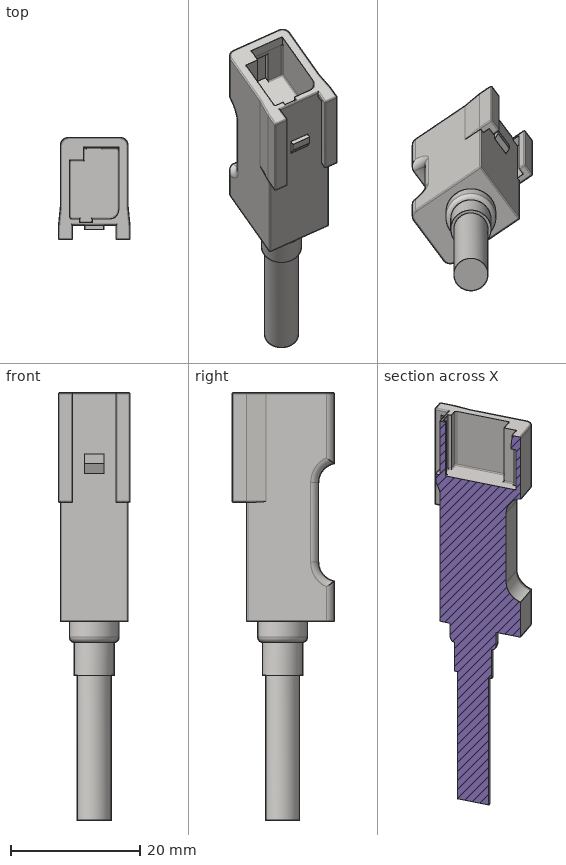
import cadquery as cq

body_width = 10.5
body_back = 7.925
body_front = -5.7
body_length = 35.5
body_edge_radius = 1.25
small_edge_radius = 0.2

recess_floor = 5.5
recess_radius = 3.0
recess_cut_height = 9.0
recess_top = -10.95
recess_bottom = -29.25

rail_span = 11.1
rail_width = 2.2
rail_inner = rail_span / 2 - rail_width
rail_front = -7.925
rail_length = 17.0
rail_flare_start = -2.7
rail_lip_thickness = 1.1
undercut_depth = 1.2
undercut_top = -1.0

cavity_half_width = 3.8
cavity_front = -4.7
cavity_back = 6.25
cavity_depth = 9.5
cavity_large_radius = 1.4
cavity_small_radius = 0.3
cavity_floor_radius = 0.15
key_step_x = -1.7
key_step_y = 4.4
lead_in_depth = 1.7
lead_in_offset = 0.2

front_groove_left = -2.3
front_groove_right = -0.3
front_groove_floor = -5.25
back_groove_half_width = 1.2
back_groove_top = -2.5
back_groove_floor = 7.05

latch_width = 3.0
latch_height = 0.65
latch_top = -9.5
latch_ramp_top = -11.0
latch_bottom = -12.5

cable_y = -0.1
collar_diameter = 7.75
collar_end = -38.75
collar_radius = 0.9
sleeve_diameter = 6.25
sleeve_end = -43.8
cable_diameter = 5.3
cable_end = -66.3


def block(x_min, x_max, y_min, y_max, z_min, z_max):
    """Axis-aligned box given by its limits."""
    size = (x_max - x_min, y_max - y_min, z_max - z_min)
    return cq.Workplane("XY").box(*size, centered=False).translate((x_min, y_min, z_min))


def side_profile(points, x_min, x_max):
    """Prism along X from a closed (y, z) outline."""
    prism = cq.Workplane("YZ").polyline(points).close().extrude(x_max - x_min)
    return prism.translate((x_min, 0, 0))


def make_housing():
    half_width = body_width / 2
    housing = block(-half_width, half_width, body_front, body_back, -body_length, 0)
    recess = block(
        -half_width, half_width,
        recess_floor, recess_floor + recess_cut_height,
        recess_bottom, recess_top,
    ).edges("<Y and |X").fillet(recess_radius)
    housing = housing.cut(recess)
    middle = (body_front + body_back) / 2
    back_edges = housing.faces("<X or >X").edges().filter(
        lambda edge: edge.Center().y > middle + body_edge_radius
    )
    housing = back_edges.fillet(body_edge_radius)
    housing = housing.edges("|Z and <Y").fillet(small_edge_radius)
    return housing.faces("<Z").edges().fillet(small_edge_radius)


def make_rail():
    """Rail on the +X side, flaring out from the housing side."""
    half_span = rail_span / 2
    outline = [
        (rail_inner, rail_front),
        (half_span, rail_front),
        (half_span, body_front),
        (body_width / 2, rail_flare_start),
        (rail_inner, rail_flare_start),
    ]
    rail = cq.Workplane("XY").polyline(outline).close().extrude(-rail_length)
    rail = rail.edges("|Z and <Y").fillet(small_edge_radius)
    return rail.faces("<Z").edges().fillet(small_edge_radius)


def make_undercut():
    """Groove behind the lip of the +X rail, open at the lower end."""
    return block(
        rail_inner, rail_inner + undercut_depth,
        rail_front + rail_lip_thickness, body_front,
        -rail_length, undercut_top,
    )


def make_latch():
    outline = [
        (cavity_front, latch_top),
        (body_front - latch_height, latch_top),
        (body_front - latch_height, latch_ramp_top),
        (body_front, latch_bottom),
        (cavity_front, latch_bottom),
    ]
    return side_profile(outline, -latch_width / 2, latch_width / 2)


def make_cavity():
    outline = [
        (-cavity_half_width, cavity_front),
        (cavity_half_width, cavity_front),
        (cavity_half_width, cavity_back),
        (key_step_x, cavity_back),
        (key_step_x, key_step_y),
        (-cavity_half_width, key_step_y),
    ]
    cavity = cq.Workplane("XY").polyline(outline).close().extrude(-cavity_depth)
    cavity = cavity.edges("|Z and >X and <Y").fillet(cavity_large_radius)
    cavity = cavity.edges("|Z and <X and <Y").fillet(cavity_small_radius)
    cavity = cavity.edges("|Z and >X and >Y").fillet(cavity_small_radius)

    lead_in_outline = [
        (key_step_y, 0),
        (cavity_back + lead_in_offset, 0),
        (cavity_back, -lead_in_depth),
        (key_step_y, -lead_in_depth),
    ]
    lead_in = side_profile(lead_in_outline, key_step_x, cavity_half_width)
    front_groove = block(
        front_groove_left, front_groove_right, front_groove_floor, 0, -cavity_depth, 0
    )
    cavity = cavity.union(front_groove).faces("<Z").edges().fillet(cavity_floor_radius)
    back_groove = block(
        -back_groove_half_width, back_groove_half_width,
        0, back_groove_floor,
        -cavity_depth, back_groove_top,
    )
    return cavity.union(lead_in).union(back_groove)


def make_cable():
    def rod(diameter, end):
        """Round section from the housing end down to z = end."""
        return cq.Workplane("XY", origin=(0, cable_y, end)).circle(diameter / 2).extrude(-body_length - end)

    collar = rod(collar_diameter, collar_end).faces("<Z").edges().fillet(collar_radius)
    return collar.union(rod(sleeve_diameter, sleeve_end)).union(rod(cable_diameter, cable_end))


rail = make_rail()
undercut = make_undercut()
shell = make_housing().union(rail).union(rail.mirror("YZ"))
result = (
    shell.faces(">Z").edges().fillet(small_edge_radius)
    .cut(undercut)
    .cut(undercut.mirror("YZ"))
    .union(make_latch())
    .cut(make_cavity())
    .union(make_cable())
)